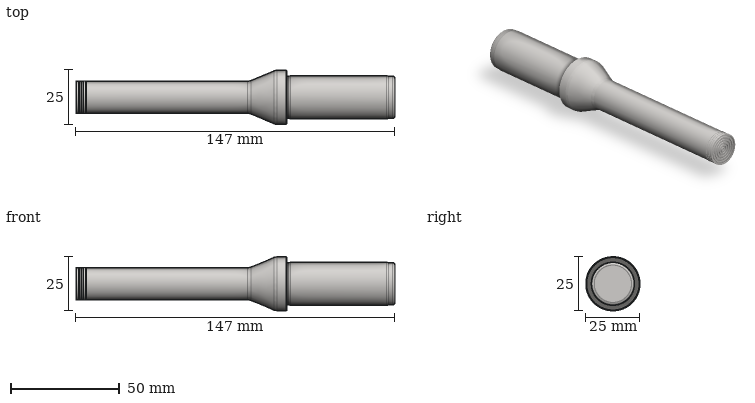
import cadquery as cq

total_length = 147.0
tip_length = 4.9
rod_diameter = 14.8
collar_diameter = 25.0
shank_diameter = 20.0

cone_start = 80.0
cone_end = 92.0
collar_end = 97.3
cone_foot_blend_radius = 4.4
cone_top_blend_radius = 3.5
collar_chamfer = 0.5

relief_diameter = 19.5
relief_length = 0.7
relief_taper_length = 0.9

shank_end_radius = 1.2
end_taper_start = 143.2
end_taper_length = 0.9

rib_diameter = 15.1
rib_count = 3
rib_width = 0.5
rib_pitch = 1.2
shoulder_rib_width = 1.0
face_groove_depth = 0.5
face_groove_pitch = 1.3
face_groove_width = face_groove_pitch / 2
face_groove_count = 5
first_groove_inner_radius = 1.1
centre_dimple_radius = 0.5

rod_radius = rod_diameter / 2
collar_radius = collar_diameter / 2
shank_radius = shank_diameter / 2
rib_radius = rib_diameter / 2
relief_radius = relief_diameter / 2


def cylinder(start, length, radius):
    """Solid cylinder along +X."""
    return cq.Workplane("YZ", origin=(start, 0, 0)).circle(radius).extrude(length)


def ring(start, length, inner_radius, outer_radius):
    """Hollow cylinder along +X."""
    return (
        cq.Workplane("YZ", origin=(start, 0, 0))
        .circle(outer_radius)
        .circle(inner_radius)
        .extrude(length)
    )


def revolve_about_x(points):
    """Turn an X-radius outline about the X axis."""
    return cq.Workplane("XY").polyline(points).close().revolve(360, (0, 0, 0), (1, 0, 0))


def select_circle_edges(body, x, radius):
    """Circular edges of the given radius centred at X = x."""
    tolerance = 0.01
    box = cq.selectors.BoxSelector(
        (x - tolerance, -tolerance, -tolerance),
        (x + tolerance, tolerance, tolerance),
    )
    return body.edges(box).edges("%CIRCLE").filter(lambda edge: abs(edge.radius() - radius) < tolerance)


def make_holder():
    """Rod, conical collar and shank in one turned body."""
    relief_end = collar_end + relief_length
    holder = revolve_about_x([
        (tip_length, 0),
        (tip_length, rod_radius),
        (cone_start, rod_radius),
        (cone_end, collar_radius),
        (collar_end, collar_radius),
        (collar_end, relief_radius),
        (relief_end, relief_radius),
        (relief_end + relief_taper_length, shank_radius),
        (end_taper_start, shank_radius),
        (end_taper_start + end_taper_length, relief_radius),
        (total_length, relief_radius),
        (total_length, 0),
    ])
    holder = select_circle_edges(holder, cone_start, rod_radius).fillet(cone_foot_blend_radius)
    holder = select_circle_edges(holder, cone_end, collar_radius).fillet(cone_top_blend_radius)
    holder = select_circle_edges(holder, collar_end, collar_radius).chamfer(collar_chamfer)
    holder = select_circle_edges(holder, total_length, relief_radius).fillet(shank_end_radius)
    return holder


def make_tip():
    """Ribbed disc with a grooved face, seated on the end of the rod."""
    tip = cylinder(0, tip_length, rod_radius)
    for index in range(rib_count):
        tip = tip.union(cylinder(index * rib_pitch, rib_width, rib_radius))
    shoulder_start = rib_count * rib_pitch
    tip = tip.union(cylinder(shoulder_start, shoulder_rib_width, rib_radius))
    for index in range(face_groove_count):
        inner_radius = first_groove_inner_radius + index * face_groove_pitch
        tip = tip.cut(ring(0, face_groove_depth, inner_radius, inner_radius + face_groove_width))
    return tip.cut(cylinder(0, face_groove_depth, centre_dimple_radius))


holder = make_holder()
tip = make_tip()

result = cq.Compound.makeCompound([holder.val(), tip.val()])